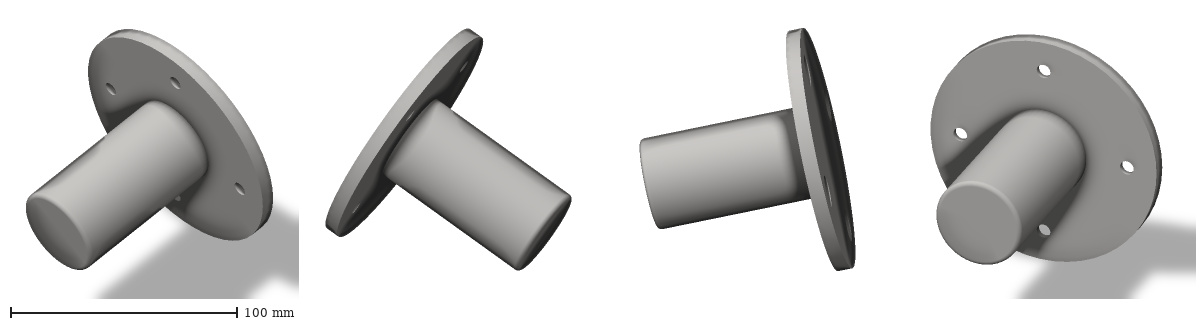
import cadquery as cq

flange_diameter = 108.5
flange_thickness = 6.5

overall_depth = 81.0
post_diameter = 41.0
post_edge_radius = 2.0

hole_count = 4
hole_diameter = 6.5
hole_circle_diameter = 80.0
countersink_diameter = 14.2
countersink_angle = 90.0


def make_flange():
    """Plate with its back face at Y = 0 and its countersunk holes cut through."""
    plate = cq.Workplane("XZ").circle(flange_diameter / 2).extrude(flange_thickness)
    return (
        plate.faces(">Y")
        .workplane()
        .polarArray(hole_circle_diameter / 2, 0, 360, hole_count)
        .cskHole(hole_diameter, countersink_diameter, countersink_angle)
    )


def make_post():
    """Solid post with a rounded edge at its free end."""
    post = cq.Workplane("XZ").circle(post_diameter / 2).extrude(overall_depth)
    return post.faces("<Y").edges().fillet(post_edge_radius)


result = make_flange().union(make_post())